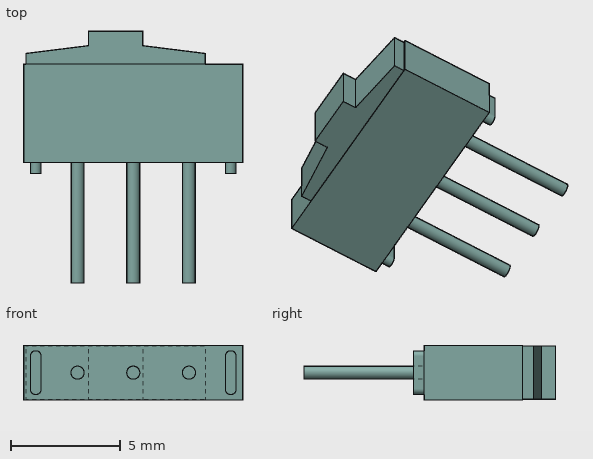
import cadquery as cq

body_width = 10.0
body_depth = 4.5
body_height = 2.5

pin_diameter = 0.6
pin_length = 5.5
pin_pitch = 2.54

rib_width = 0.5
rib_length = 2.0
rib_depth = 0.5
rib_offset = 4.45

slider_width = 8.2
slider_height = 2.44
slider_center_x = -0.8
slider_edge_rise = 0.5
slider_shoulder_rise = 0.85
knob_width = 2.5
total_depth = 11.5
knob_rise = total_depth - pin_length - body_depth


def make_body():
    return cq.Workplane("XY").box(body_width, body_depth, body_height).translate((0, body_depth / 2, 0))


def make_slider():
    """Sloped plate with a central thumb knob, extruded symmetrically in Z."""
    half_width = slider_width / 2
    half_knob = knob_width / 2
    return (
        cq.Workplane("XY")
        .center(slider_center_x, body_depth)
        .moveTo(-half_width, 0)
        .lineTo(-half_width, slider_edge_rise)
        .lineTo(-half_knob, slider_shoulder_rise)
        .lineTo(-half_knob, knob_rise)
        .lineTo(half_knob, knob_rise)
        .lineTo(half_knob, slider_shoulder_rise)
        .lineTo(half_width, slider_edge_rise)
        .lineTo(half_width, 0)
        .close()
        .extrude(slider_height / 2, both=True)
    )


def make_pins():
    pin_positions = [(-pin_pitch, 0), (0, 0), (pin_pitch, 0)]
    return cq.Workplane("XZ").pushPoints(pin_positions).circle(pin_diameter / 2).extrude(pin_length)


def make_ribs():
    rib_positions = [(-rib_offset, 0), (rib_offset, 0)]
    return cq.Workplane("XZ").pushPoints(rib_positions).slot2D(rib_length, rib_width, 90).extrude(rib_depth)


result = make_body().union(make_slider()).union(make_pins()).union(make_ribs())